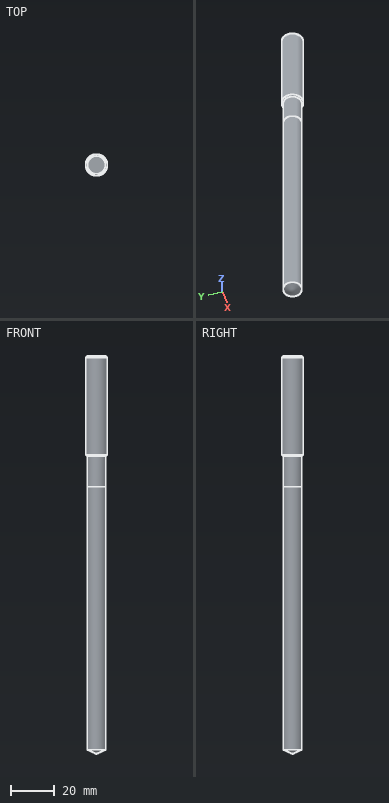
import cadquery as cq
import math

total_length = 182.0
shank_diameter = 10.0
body_diameter = 8.5

shank_length = 45.1
neck_length = 14.0
top_chamfer = 1.0
point_angle = 130.0

shank_radius = shank_diameter / 2
body_radius = body_diameter / 2
shank_bottom = total_length - shank_length
shoulder_length = shank_radius - body_radius
neck_top = shank_bottom - shoulder_length
joint_height = neck_top - neck_length
point_height = body_radius / math.tan(math.radians(point_angle / 2))


def make_shank():
    """Shank chamfered at its top, with the plain neck below it, turned as one solid."""
    return (
        cq.Workplane("XZ")
        .moveTo(0, joint_height)
        .lineTo(body_radius, joint_height)
        .lineTo(body_radius, neck_top)
        .lineTo(shank_radius, shank_bottom)
        .lineTo(shank_radius, total_length - top_chamfer)
        .lineTo(shank_radius - top_chamfer, total_length)
        .lineTo(0, total_length)
        .close()
        .revolve(360, (0, 0), (0, 1))
    )


def make_cutting_body():
    """Long cylinder with a conical point, its top face meeting the neck."""
    return (
        cq.Workplane("YZ")
        .moveTo(0, 0)
        .lineTo(body_radius, point_height)
        .lineTo(body_radius, joint_height)
        .lineTo(0, joint_height)
        .close()
        .revolve(360, (0, 0), (0, 1))
    )


shank = make_shank()
cutting_body = make_cutting_body()

result = cq.Compound.makeCompound([shank.val(), cutting_body.val()])